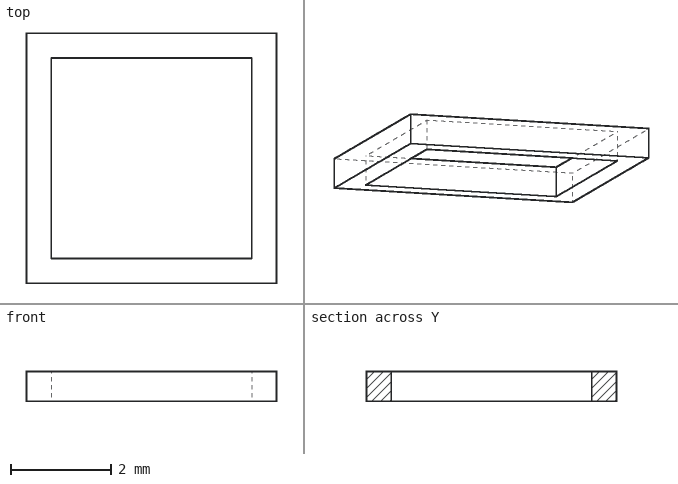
import cadquery as cq

outer_side = 5.0
wall_width = 0.5
thickness = 0.6

inner_side = outer_side - 2 * wall_width


def square_frame():
    """Flat square frame with a square opening through its full thickness."""
    return (
        cq.Workplane("XY")
        .rect(outer_side, outer_side)
        .rect(inner_side, inner_side)
        .extrude(thickness)
    )


result = square_frame()